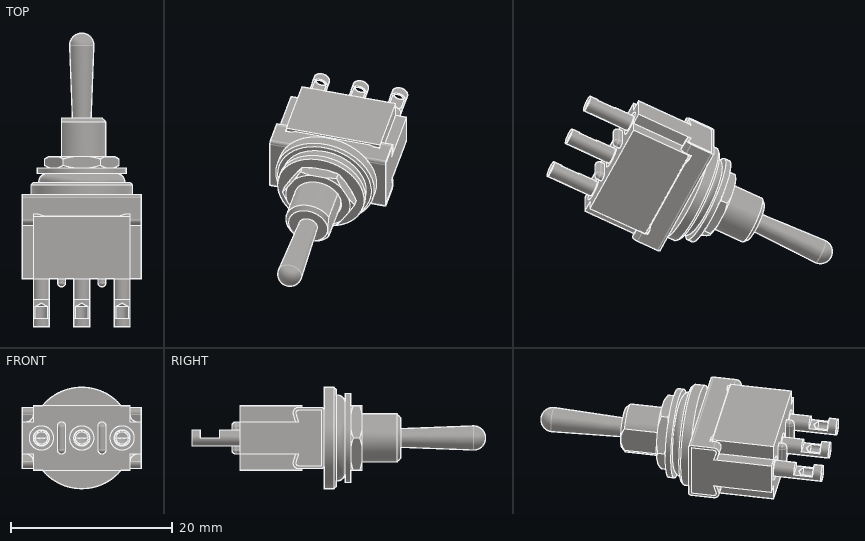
import cadquery as cq
import math


switch_length = 14.8
frame_depth = 7.6
sheet = 0.35
frame_bend_radius = 0.35
frame_skirt_end = -2.65
hook_centre_y = -3.15
hook_inner_radius = 0.35
hook_lean = math.radians(17)
hook_corner_radius = 0.9
relief_end = -2.43
relief_outer_half = 5.4
relief_inner_half = 4.7

housing_back = -10.45
rail_depth = 4.0
block_width = 12.0
block_depth = 8.0
block_top = -2.75
rib_pitch = 5.0
rib_width = 1.0
rib_length = 4.0
rib_straight_height = 0.5

flange_radius = 6.3
flange_thickness = 1.5
flange_chamfer = 0.3
bushing_radius = 3.0
bushing_top = 9.5
bushing_chamfer = 0.5
bushing_flat_x = -2.52

ring_tube_radius = 1.05
ring_centre_radius = 4.3
ring_centre_y = 1.55
washer_radius = 5.54
washer_thickness = 0.7
nut_across_flats = 8.0
nut_thickness = 1.4
nut_face_radius = 4.1
nut_chamfer_angle = math.radians(30)

lever_tip = 20.0
lever_ball_radius = 1.52
lever_stem_radius = 1.18

terminal_pitch = 5.0
terminal_count = 3
terminal_radius = 1.0
terminal_end = -16.4
collar_radius = 1.5
collar_length = 1.0
cup_radius = 0.77
cup_depth = 2.5
cup_tip_depth = 0.45
cup_mouth_radius = 0.95
cup_mouth_depth = 0.2
cup_rim = 1.05
cup_window_top = -13.0

half_length = switch_length / 2
half_frame = frame_depth / 2
half_inner = half_frame - sheet
half_rail = rail_depth / 2
half_block = block_width / 2
hook_outer_radius = hook_inner_radius + sheet
hook_centre_z = half_frame - hook_outer_radius
washer_bottom = ring_centre_y + ring_tube_radius
washer_top = washer_bottom + washer_thickness
nut_top = washer_top + nut_thickness


def box_between(x_range, y_range, z_range):
    """Box spanning the given limits along each axis."""
    size = [high - low for low, high in (x_range, y_range, z_range)]
    return cq.Workplane("XY").box(*size, centered=False).translate((x_range[0], y_range[0], z_range[0]))


def rod(radius, low, high):
    """Cylinder on the Y axis between two heights."""
    return cq.Workplane("XZ", origin=(0, high, 0)).circle(radius).extrude(high - low)


def spun(outline):
    """Solid of revolution about the Y axis from a closed half outline."""
    return outline.close().revolve(360, (0, 0, 0), (0, 1, 0))


def hook_point(radius, angle):
    """Point (Y, Z) on the upper hook bend; angle 0 faces -Y and grows toward +Z."""
    return (
        hook_centre_y - radius * math.cos(angle),
        hook_centre_z + radius * math.sin(angle),
    )


def hook_foot(radius):
    """Point where the leaning hook leg at this bend radius lands on the rail."""
    leg_y, leg_z = hook_point(radius, -hook_lean)
    return (leg_y + (leg_z - half_rail) * math.tan(hook_lean), half_rail)


def mirrored(point):
    """The same (Y, Z) point on the lower half."""
    return (point[0], -point[1])


def wrapped_section(top_y, half_depth, radius):
    """Profile of all that lies inside one face of the folded sheet, down to the rail."""
    bend_middle = hook_point(radius, math.radians(45))
    bend_end = hook_point(radius, -hook_lean)
    foot = hook_foot(radius)
    return (
        cq.Workplane("YZ", origin=(-half_length, 0, 0))
        .moveTo(top_y, -half_depth)
        .lineTo(top_y, half_depth)
        .lineTo(hook_centre_y, half_depth)
        .threePointArc(bend_middle, bend_end)
        .lineTo(*foot)
        .lineTo(*mirrored(foot))
        .lineTo(*mirrored(bend_end))
        .threePointArc(mirrored(bend_middle), (hook_centre_y, -half_depth))
        .close()
        .extrude(switch_length)
    )


def make_core():
    """Housing core held by the frame."""
    return wrapped_section(-sheet, half_inner, hook_inner_radius)


def make_rail():
    """Bar that runs past the block at both ends, between the upper and lower hooks."""
    return box_between(
        (-half_length, half_length), (housing_back, hook_centre_y), (-half_rail, half_rail)
    )


def make_hook_rounding(x_side, z_side):
    """Waste cut from the free inner corner of one hook, leaving it round."""
    corner_x = x_side * half_block
    corner_z = z_side * half_rail
    radius = hook_corner_radius
    inset = radius * (1 - math.sqrt(0.5))
    return (
        cq.Workplane("XZ", origin=(0, block_top, 0))
        .moveTo(corner_x, corner_z)
        .lineTo(corner_x + x_side * radius, corner_z)
        .threePointArc(
            (corner_x + x_side * inset, corner_z + z_side * inset),
            (corner_x, corner_z + z_side * radius),
        )
        .close()
        .extrude(block_top - housing_back)
    )


def make_frame():
    """Folded sheet with a skirt on each long side and a hook at each corner."""
    frame = wrapped_section(0, half_frame, hook_outer_radius)
    frame = frame.edges("|X and >Y").fillet(frame_bend_radius)
    frame = frame.cut(make_core()).cut(make_rail())
    window = (
        cq.Workplane("XY", origin=(0, 0, -half_frame))
        .moveTo(-half_block, housing_back)
        .lineTo(-half_block, relief_end)
        .lineTo(-relief_outer_half, relief_end)
        .lineTo(-relief_inner_half, frame_skirt_end)
        .lineTo(relief_inner_half, frame_skirt_end)
        .lineTo(relief_outer_half, relief_end)
        .lineTo(half_block, relief_end)
        .lineTo(half_block, housing_back)
        .close()
        .extrude(frame_depth)
    )
    frame = frame.cut(window)
    for x_side in (-1, 1):
        for z_side in (-1, 1):
            frame = frame.cut(make_hook_rounding(x_side, z_side))
    return frame


def make_ring():
    """O-ring that sits half sunk in the flange."""
    tube = cq.Workplane("XY").center(ring_centre_radius, ring_centre_y).circle(ring_tube_radius)
    return tube.revolve(360, (-ring_centre_radius, 0, 0), (-ring_centre_radius, 1, 0))


def make_lever():
    """Ball-ended tapered lever with a plain stem inside the bushing."""
    ball_y = lever_tip - lever_ball_radius
    ball_slant = lever_ball_radius * math.sqrt(0.5)
    return spun(
        cq.Workplane("XY")
        .moveTo(0, 0)
        .lineTo(lever_stem_radius, 0)
        .lineTo(lever_stem_radius, bushing_top)
        .lineTo(lever_ball_radius, ball_y)
        .threePointArc((ball_slant, ball_y + ball_slant), (0, lever_tip))
    )


def make_flat_waste():
    """Material beyond the bushing's flat, from the flange face to past the bushing top."""
    return box_between(
        (-flange_radius, bushing_flat_x),
        (flange_thickness, lever_tip),
        (-flange_radius, flange_radius),
    )


def make_bushing_frame(ring, lever):
    """Flanged bushing, flattened on its -X side, joined to the folded frame."""
    flange = rod(flange_radius, 0, flange_thickness).faces(">Y").chamfer(flange_chamfer)
    barrel = rod(bushing_radius, 0, bushing_top).faces(">Y").chamfer(bushing_chamfer)
    barrel = barrel.cut(make_flat_waste())
    return make_frame().union(flange).union(barrel).cut(ring).cut(lever)


def make_washer():
    """Flat washer keyed to the bushing."""
    washer = rod(washer_radius, washer_bottom, washer_top)
    return washer.cut(rod(bushing_radius, washer_bottom, washer_top).cut(make_flat_waste()))


def make_nut():
    """Hexagon nut with corners along X, chamfered on both faces."""
    corner_radius = nut_across_flats / 2 / math.cos(math.pi / 6)
    corner_drop = (corner_radius - nut_face_radius) * math.tan(nut_chamfer_angle)
    hexagon = (
        cq.Workplane("XZ", origin=(0, nut_top, 0))
        .polygon(6, 2 * corner_radius)
        .extrude(nut_thickness)
    )
    chamfer_envelope = spun(
        cq.Workplane("XY")
        .moveTo(0, washer_top)
        .lineTo(nut_face_radius, washer_top)
        .lineTo(corner_radius, washer_top + corner_drop)
        .lineTo(corner_radius, nut_top - corner_drop)
        .lineTo(nut_face_radius, nut_top)
        .lineTo(0, nut_top)
    )
    return hexagon.intersect(chamfer_envelope).cut(rod(bushing_radius, washer_top, nut_top))


def make_terminal(x):
    """Solder-cup terminal with a collar sunk flush in the housing."""
    terminal = rod(terminal_radius, terminal_end, housing_back)
    terminal = terminal.union(rod(collar_radius, housing_back, housing_back + collar_length))
    cup_floor = terminal_end + cup_depth
    cup = spun(
        cq.Workplane("XY")
        .moveTo(0, terminal_end)
        .lineTo(cup_mouth_radius, terminal_end)
        .lineTo(cup_radius, terminal_end + cup_mouth_depth)
        .lineTo(cup_radius, cup_floor)
        .lineTo(0, cup_floor + cup_tip_depth)
    )
    window = box_between(
        (-terminal_radius, terminal_radius),
        (terminal_end + cup_rim, cup_window_top),
        (0, terminal_radius),
    )
    return terminal.cut(cup).cut(window).translate((x, 0, 0))


def make_rib(x):
    """Barrier rib between terminals, with rounded ends and a rounded crest."""
    radius = rib_width / 2
    half_straight = rib_length / 2 - radius
    crest_y = housing_back - rib_straight_height
    rib = (
        cq.Workplane("XZ", origin=(x, housing_back, 0))
        .slot2D(rib_length, rib_width, 90)
        .extrude(rib_straight_height)
    )
    crest = (
        cq.Workplane("XY", origin=(x, crest_y, -half_straight))
        .circle(radius)
        .extrude(2 * half_straight)
    )
    rib = rib.union(crest)
    for z in (-half_straight, half_straight):
        rib = rib.union(cq.Workplane("XY", origin=(x, crest_y, z)).sphere(radius))
    return rib


def make_housing(terminals):
    """Core, terminal block, end rails and barrier ribs, with pockets for the terminals."""
    block = box_between(
        (-half_block, half_block), (housing_back, block_top), (-block_depth / 2, block_depth / 2)
    )
    housing = make_core().union(make_rail()).union(block)
    for x in (-rib_pitch / 2, rib_pitch / 2):
        housing = housing.union(make_rib(x))
    for terminal in terminals:
        housing = housing.cut(terminal)
    return housing


middle_terminal = (terminal_count - 1) / 2
terminals = [make_terminal((i - middle_terminal) * terminal_pitch) for i in range(terminal_count)]
housing = make_housing(terminals)
lever = make_lever()
ring = make_ring()
bushing_frame = make_bushing_frame(ring, lever)
washer = make_washer()
nut = make_nut()

bodies = [housing, bushing_frame, lever, ring, washer, nut, *terminals]
result = cq.Compound.makeCompound([body.solids().val() for body in bodies])